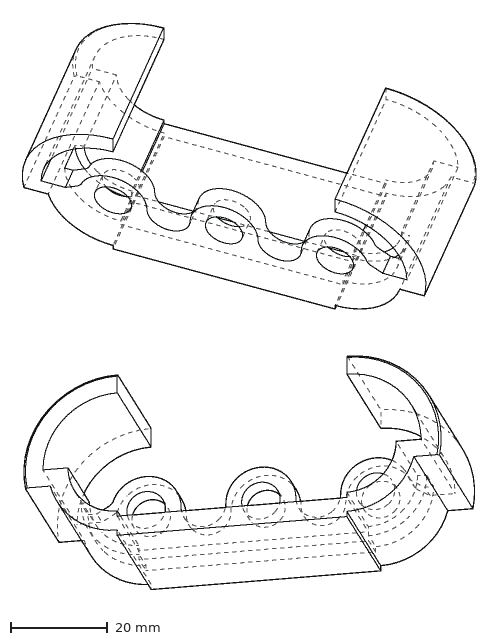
import cadquery as cq
import math

length = 88.4
depth = 31.9
arm_radius = 19.9
axis_offset = length / 2 - arm_radius

arm_thickness = 4.15
arm_inner_radius = arm_radius - arm_thickness
shelf_drop = 3.7
shelf_overlap = 1.1
back_chamfer = 0.4

cradle_radius = 14.7
base_bottom = -15.8
base_step = -base_bottom - cradle_radius

channel_radius = 10.4
groove_radius = 12.3
plate_thickness = 4.9
groove_end = 11.75
groove_slope = 0.4

hole_diameter = 8.1
lug_radius = 7.4
valley_radius = axis_offset / 2 - lug_radius
flank_top = 2.3
flank_middle = (7.5, 1.8)
flank_knee = (8.3, 1.2)
flank_foot = channel_radius


def block(x_min, x_max, y_min, y_max, z_min, z_max):
    return (
        cq.Workplane("XY")
        .box(x_max - x_min, y_max - y_min, z_max - z_min, centered=False)
        .translate((x_min, y_min, z_min))
    )


def cylinder(x, radius, y_min, y_max):
    return (
        cq.Workplane("XZ", origin=(x, y_min, 0))
        .circle(radius)
        .extrude(y_min - y_max)
    )


def arm(side):
    """Quarter ring above the shelf, ending below at the shelf underside."""
    center = side * axis_offset
    ring = cylinder(center, arm_radius, 0, depth)
    ring = ring.faces(">Y").edges().chamfer(back_chamfer)
    ring = ring.cut(cylinder(center, arm_inner_radius, 0, depth))
    outer_end = side * length / 2
    return ring.intersect(
        block(min(center, outer_end), max(center, outer_end), 0, depth, -shelf_drop, arm_radius)
    )


def shelf_and_cradle():
    """Rounded body with a flat base and two shelves reaching to the arms."""
    body = block(-axis_offset, axis_offset, 0, depth, base_bottom, 0)
    shelf_end = axis_offset + arm_inner_radius + shelf_overlap
    lower_half = block(-length / 2, length / 2, 0, depth, base_bottom, 0)
    for side in (-1, 1):
        body = body.union(cylinder(side * axis_offset, cradle_radius, 0, depth).intersect(lower_half))
    return body.union(block(-shelf_end, shelf_end, 0, depth, -shelf_drop, 0))


def channel_profile(radius, y):
    """Round-ended channel section whose flat floor is one base step deeper."""
    corner = axis_offset + radius
    floor = -radius - base_step
    diagonal = radius * math.sqrt(0.5)
    return (
        cq.Workplane("XZ", origin=(0, y, 0))
        .moveTo(-corner, 0)
        .threePointArc((-axis_offset - diagonal, -diagonal), (-axis_offset, -radius))
        .lineTo(-axis_offset, floor)
        .lineTo(axis_offset, floor)
        .lineTo(axis_offset, -radius)
        .threePointArc((axis_offset + diagonal, -diagonal), (corner, 0))
        .close()
    )


def channel():
    """Channel open at the back, plus the groove that slopes up into it."""
    main = channel_profile(channel_radius, plate_thickness).extrude(plate_thickness - depth)
    slope_start = groove_end - groove_slope
    groove = channel_profile(groove_radius, plate_thickness).extrude(plate_thickness - slope_start)
    wires = [
        channel_profile(groove_radius, slope_start).val(),
        channel_profile(channel_radius, groove_end).val(),
    ]
    slope = cq.Workplane(cq.Solid.makeLoft(wires, True))
    return main.union(groove).union(slope)


def lug_plate_top():
    """Wavy upper part of the front plate, with sloping flanks at both ends."""
    flank_x = math.sqrt(lug_radius**2 - flank_top**2)
    plate = None
    for x in (-axis_offset, 0, axis_offset):
        lug = cylinder(x, lug_radius, 0, plate_thickness)
        plate = lug if plate is None else plate.union(lug)
    for side in (-1, 1):
        outline = [(0, 0), (flank_x, flank_top), flank_middle, flank_knee, (flank_foot, 0)]
        axis, top, middle, knee, foot = [(side * (axis_offset + x), z) for x, z in outline]
        flank = (
            cq.Workplane("XZ")
            .moveTo(*axis)
            .lineTo(*top)
            .threePointArc(middle, knee)
            .lineTo(*foot)
            .close()
            .extrude(-plate_thickness)
        )
        plate = plate.union(flank)
    return plate


result = shelf_and_cradle().cut(channel())
for side in (-1, 1):
    result = result.union(arm(side))
for side in (-1, 1):
    result = result.cut(cylinder(side * axis_offset / 2, valley_radius, 0, plate_thickness))
result = result.union(lug_plate_top())
for x in (-axis_offset, 0, axis_offset):
    result = result.cut(cylinder(x, hole_diameter / 2, 0, plate_thickness))